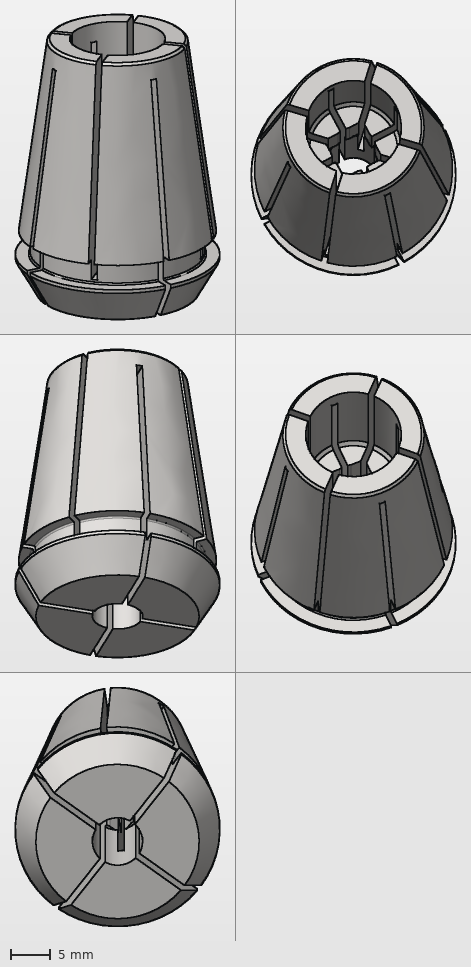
import cadquery as cq
import math

length = 34.0
top_diameter = 17.8
top_chamfer = 0.35
cone_base_diameter = 24.95
cone_base_z = 8.13
neck_diameter = 22.03
neck_fillet = 0.2
flange_diameter = 25.8
flange_top_z = 5.0
rim_height = 0.48
nose_angle = 30.0

bore_diameter = 12.05
bore_depth = 13.6
bore_floor_chamfer = 0.48

square_side = 5.45
pilot_diameter = 5.68
square_length = 6.8

clamp_bore_diameter = 6.32

slot_width = 0.78
slot_length = flange_diameter + slot_width
lower_slot_top_z = 31.52
upper_slot_floor_z = 5.5


def make_body():
    rim_radius = flange_diameter / 2
    rim_bottom_z = flange_top_z - rim_height
    nose_radius = rim_radius - rim_bottom_z * math.tan(math.radians(nose_angle))
    neck_radius = neck_diameter / 2
    top_radius = top_diameter / 2
    profile = (
        cq.Workplane("XZ")
        .lineTo(nose_radius, 0)
        .lineTo(rim_radius, rim_bottom_z)
        .lineTo(rim_radius, flange_top_z)
        .lineTo(neck_radius + neck_fillet, flange_top_z)
        .radiusArc((neck_radius, flange_top_z + neck_fillet), neck_fillet)
        .lineTo(neck_radius, cone_base_z - neck_fillet)
        .radiusArc((neck_radius + neck_fillet, cone_base_z), neck_fillet)
        .lineTo(cone_base_diameter / 2, cone_base_z)
        .lineTo(top_radius, length - top_chamfer)
        .lineTo(top_radius - top_chamfer, length)
        .lineTo(0, length)
        .close()
    )
    return profile.revolve(360, (0, 0), (0, 1))


def make_relief_bore():
    radius = bore_diameter / 2
    floor_z = length - bore_depth
    profile = (
        cq.Workplane("XZ")
        .moveTo(0, floor_z)
        .lineTo(radius - bore_floor_chamfer, floor_z)
        .lineTo(radius, floor_z + bore_floor_chamfer)
        .lineTo(radius, length)
        .lineTo(0, length)
        .close()
    )
    return profile.revolve(360, (0, 0), (0, 1))


def make_drive_hole():
    square_bottom_z = length - bore_depth - square_length
    plane = cq.Workplane("XY", origin=(0, 0, square_bottom_z))
    square = plane.rect(square_side, square_side).extrude(square_length)
    pilot = plane.circle(pilot_diameter / 2).extrude(square_length)
    clamp_bore = cq.Workplane("XY").circle(clamp_bore_diameter / 2).extrude(square_bottom_z)
    return square.union(pilot).union(clamp_bore)


def make_slot_cross(bottom_z, top_z, angle):
    """Two perpendicular full-width slots, turned about Z by the angle in degrees."""
    height = top_z - bottom_z
    plane = cq.Workplane("XY", origin=(0, 0, bottom_z))
    first = plane.rect(slot_length, slot_width).extrude(height)
    second = plane.rect(slot_width, slot_length).extrude(height)
    return first.union(second).rotate((0, 0, 0), (0, 0, 1), angle)


result = (
    make_body()
    .cut(make_relief_bore())
    .cut(make_drive_hole())
    .cut(make_slot_cross(0, lower_slot_top_z, 0))
    .cut(make_slot_cross(upper_slot_floor_z, length, 45))
)